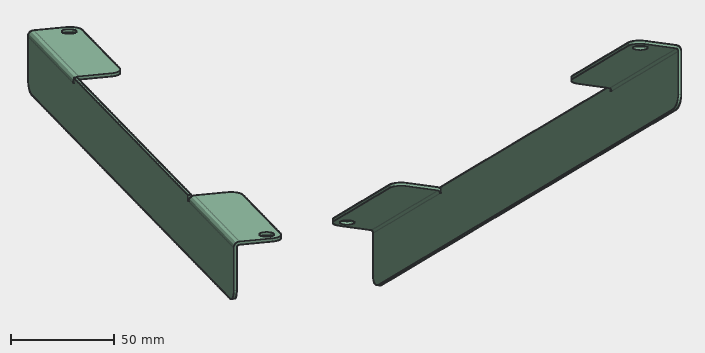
import cadquery as cq

length = 341.5
depth = 25.5
height = 30.7
thickness = 1.7
inner_bend_radius = 1.2
tab_length = 74.8
corner_radius = 6.0
relief_width = 1.0
hole_diameter = 7.2
hole_inset = 7.0

outer_bend_radius = inner_bend_radius + thickness
bend_start = height - outer_bend_radius


def make_bent_strip():
    """Full-length angle: upright wall bent back into a top flange."""
    profile = cq.Workplane("YZ").polyline(
        [
            (0, 0),
            (thickness, 0),
            (thickness, height - thickness),
            (depth, height - thickness),
            (depth, height),
            (0, height),
        ]
    ).close()
    strip = profile.extrude(length)
    outer_edge = cq.selectors.NearestToPointSelector((length / 2, 0, height))
    inner_edge = cq.selectors.NearestToPointSelector((length / 2, thickness, height - thickness))
    strip = strip.edges(outer_edge).fillet(outer_bend_radius)
    return strip.edges(inner_edge).fillet(inner_bend_radius)


def make_tab(strip, start):
    """Bend and flange of one tab, with rounded rear corners."""
    envelope = cq.Workplane("XY").box(tab_length, depth, outer_bend_radius, centered=False)
    envelope = envelope.edges("|Z and >Y").fillet(corner_radius)
    return strip.intersect(envelope.translate((start, 0, bend_start)))


def make_wall():
    """Flat wall, standing full height between the relief slots."""
    wall = cq.Workplane("XY").box(length, thickness, bend_start, centered=False)
    wall = wall.edges("|Y and <Z").fillet(corner_radius)
    middle_start = tab_length + relief_width
    middle = cq.Workplane("XY").box(
        length - 2 * middle_start, thickness, outer_bend_radius, centered=False
    )
    return wall.union(middle.translate((middle_start, 0, bend_start)))


bent_strip = make_bent_strip()
result = make_wall()
for tab_start in (0, length - tab_length):
    result = result.union(make_tab(bent_strip, tab_start))

for hole_x in (hole_inset, length - hole_inset):
    hole = cq.Workplane("XY").center(hole_x, depth - hole_inset).circle(hole_diameter / 2).extrude(height)
    result = result.cut(hole)